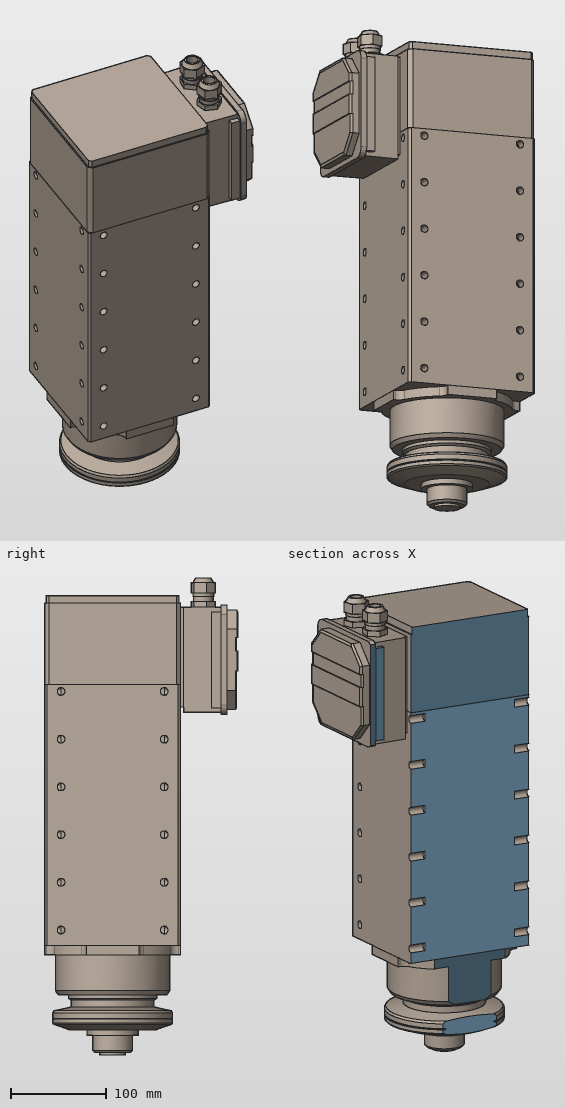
import cadquery as cq
import math

body_side = 142.0
half_side = body_side / 2
body_bottom = 115.0
body_top = 387.5
body_chamfer = 2.5

hole_diameter = 8.0
hole_depth = 17.0
hole_rows = 6
hole_pitch = 50.0
hole_column_offset = 54.0
hole_bottom_row_z = 130.5

cover_shoulder_z = 472.5
cover_top = 480.5
cover_chamfer = 4.5
cover_rim_step = 1.5

flange_bottom = 105.0
flange_hub_radius = 69.0
flange_ear_width = 55.0
flange_corner_radius = 9.5
nose_radius = 60.0
nose_bottom = 63.0
nose_chamfer_width = 3.0
nose_chamfer_height = 4.5

shoulder_radius = 46.5
shoulder_bottom = 59.5
neck_radius = 43.5
neck_top = 57.5
neck_bottom = 50.5
disc_radius = 63.0
disc_land_radius = 61.5
disc_land_top = 46.5
disc_rim_top = 44.0
disc_rim_bottom = 33.5
disc_land_bottom = 32.0
disc_base_radius = 44.5
disc_bottom = 26.0
groove_z = 38.0
groove_half_height = 0.5
groove_depth = 1.5
collar_radius = 27.0
collar_bottom = 20.5
shaft_radius = 21.0
shaft_bottom = 2.5
shaft_chamfer = 2.5
tip_radius = 13.5

box_top = 468.5
box_bottom = 358.5
box_back_y = 74.5
box_front_y = 113.5
box_back_width = 97.5
box_front_width = 100.0
box_foot_width = 91.5
box_foot_height = 105.0
box_tab_back_y = 103.5
box_tab_width = 111.0
box_tab_top = 463.5
box_tab_bottom = 363.0

rim_front_y = 120.0
rim_width = 115.0
rim_height = 115.0
rim_corner_radius = 10.0
lid_front_y = 129.5
lid_width = 104.5
lid_top = 465.5
lid_bottom = 361.5
lid_corner_chamfer = 20.0
lid_bevel_depth = 3.0
lid_bevel_width = 1.0
band_thickness = 1.25
band_heights = [(436.5, lid_top), (401.5, 422.5)]

gland_y = 95.0
gland_x = 20.0
gland_turns = {-gland_x: -7.0, gland_x: 14.0}
gland_hex_corners = 26.5
gland_base_top = 474.5
gland_neck_radius = 10.5
gland_collar_radius = 11.0
gland_collar_bottom = 479.5
gland_nut_bottom = 483.0
gland_nut_top = 494.0
gland_top = 499.0
gland_mouth_radius = 8.0
gland_bore_radius = 6.0
gland_bore_depth = 10.0


def column(side, chamfer, bottom, top):
    """Upright square column with chamfered corners."""
    return (
        cq.Workplane("XY")
        .workplane(offset=bottom)
        .rect(side, side)
        .extrude(top - bottom)
        .edges("|Z")
        .chamfer(chamfer)
    )


def revolved(outline):
    """Solid of revolution about the Z axis from (radius, z) points."""
    return cq.Workplane("XZ").polyline(outline).close().revolve(360, (0, 0, 0), (0, 1, 0))


def plate_y(width, bottom, top, back, front):
    """Box centred on x = 0, given by its heights and its Y range."""
    size = (width, front - back, top - bottom)
    return cq.Workplane("XY").box(*size, centered=(True, False, False)).translate((0, back, bottom))


def make_motor_body():
    body = column(body_side, body_chamfer, body_bottom, body_top)
    centres = [
        (x, hole_bottom_row_z + row * hole_pitch)
        for x in (-hole_column_offset, hole_column_offset)
        for row in range(hole_rows)
    ]
    holes = (
        cq.Workplane("XZ", origin=(0, -half_side, 0))
        .pushPoints(centres)
        .circle(hole_diameter / 2)
        .extrude(-hole_depth)
    )
    for quarter in range(4):
        body = body.cut(holes.rotate((0, 0, 0), (0, 0, 1), 90 * quarter))
    return body


def make_rear_cover():
    cover = column(body_side, cover_chamfer, body_top, cover_shoulder_z)
    rim_side = body_side - 2 * cover_rim_step
    rim = column(rim_side, cover_chamfer - cover_rim_step, cover_shoulder_z, cover_top)
    return cover.union(rim)


def make_corner_cutter():
    """Waste between the +X and +Y ears: hub arc in the middle, joined to each ear by a tangent fillet."""
    half_ear = flange_ear_width / 2
    near = half_ear + flange_corner_radius
    centre_distance = flange_hub_radius + flange_corner_radius
    far = math.sqrt(centre_distance**2 - near**2)
    shrink = flange_hub_radius / centre_distance
    diagonal = flange_hub_radius / math.sqrt(2)
    hub_angle = math.atan2(-far, -near)
    mid_angle = (hub_angle - math.pi) / 2
    mid_x = near + flange_corner_radius * math.cos(mid_angle)
    mid_y = far + flange_corner_radius * math.sin(mid_angle)
    return (
        cq.Workplane("XY")
        .workplane(offset=flange_bottom)
        .moveTo(half_ear, body_side)
        .lineTo(half_ear, far)
        .threePointArc((mid_x, mid_y), (near * shrink, far * shrink))
        .threePointArc((diagonal, diagonal), (far * shrink, near * shrink))
        .threePointArc((mid_y, mid_x), (far, half_ear))
        .lineTo(body_side, half_ear)
        .lineTo(body_side, body_side)
        .close()
        .extrude(body_bottom - flange_bottom)
    )


def make_front_shield():
    flange = (
        cq.Workplane("XY")
        .workplane(offset=flange_bottom)
        .rect(body_side, body_side)
        .extrude(body_bottom - flange_bottom)
    )
    cutter = make_corner_cutter()
    for quarter in range(4):
        flange = flange.cut(cutter.rotate((0, 0, 0), (0, 0, 1), 90 * quarter))
    nose = revolved(
        [
            (0, flange_bottom),
            (nose_radius, flange_bottom),
            (nose_radius, nose_bottom + nose_chamfer_height),
            (nose_radius - nose_chamfer_width, nose_bottom),
            (0, nose_bottom),
        ]
    )
    return flange.union(nose)


def make_spindle():
    return revolved(
        [
            (0, nose_bottom),
            (shoulder_radius, nose_bottom),
            (shoulder_radius, shoulder_bottom),
            (neck_radius, neck_top),
            (neck_radius, neck_bottom),
            (disc_land_radius, disc_land_top),
            (disc_radius, disc_rim_top),
            (disc_radius, groove_z + groove_half_height),
            (disc_radius - groove_depth, groove_z + groove_half_height),
            (disc_radius - groove_depth, groove_z - groove_half_height),
            (disc_radius, groove_z - groove_half_height),
            (disc_radius, disc_rim_bottom),
            (disc_land_radius, disc_land_bottom),
            (disc_base_radius, disc_bottom),
            (collar_radius, disc_bottom),
            (collar_radius, collar_bottom),
            (shaft_radius, collar_bottom),
            (shaft_radius, shaft_bottom + shaft_chamfer),
            (shaft_radius - shaft_chamfer, shaft_bottom),
            (tip_radius, shaft_bottom),
            (tip_radius, 0),
            (0, 0),
        ]
    )


def make_terminal_box():
    shell = (
        cq.Workplane("XY")
        .workplane(offset=box_bottom)
        .polyline(
            [
                (-box_back_width / 2, box_back_y),
                (box_back_width / 2, box_back_y),
                (box_front_width / 2, box_front_y),
                (-box_front_width / 2, box_front_y),
            ]
        )
        .close()
        .extrude(box_top - box_bottom)
    )
    foot = plate_y(box_foot_width, box_top - box_foot_height, box_top, half_side, box_back_y)
    tabs = plate_y(box_tab_width, box_tab_bottom, box_tab_top, box_tab_back_y, box_front_y)
    return shell.union(foot).union(tabs)


def lid_block(front):
    """Lid slab standing on the rim up to Y = front, with cut corners and a bevelled front edge."""
    return (
        plate_y(lid_width, lid_bottom, lid_top, rim_front_y, front)
        .edges("|Y")
        .chamfer(lid_corner_chamfer)
        .faces(">Y")
        .chamfer(lid_bevel_depth, lid_bevel_width)
    )


def make_lid():
    box_middle_z = (box_top + box_bottom) / 2
    rim_bottom = box_middle_z - rim_height / 2
    rim = (
        plate_y(rim_width, rim_bottom, rim_bottom + rim_height, box_front_y, rim_front_y)
        .edges("|Y")
        .fillet(rim_corner_radius)
    )

    lid = rim.union(lid_block(lid_front_y))
    band_front = lid_front_y + band_thickness
    for bottom, top in band_heights:
        band_slice = plate_y(lid_width, bottom, top, rim_front_y, band_front)
        lid = lid.union(lid_block(band_front).intersect(band_slice))
    return lid


def hexagon(bottom, top):
    """Hexagon prism of the gland, centred on the Z axis."""
    return cq.Workplane("XY").workplane(offset=bottom).polygon(6, gland_hex_corners).extrude(top - bottom)


def make_gland(x, turn):
    core = revolved(
        [
            (0, box_top),
            (gland_neck_radius, box_top),
            (gland_neck_radius, gland_collar_bottom),
            (gland_collar_radius, gland_collar_bottom),
            (gland_collar_radius, gland_nut_top),
            (gland_mouth_radius, gland_top),
            (0, gland_top),
        ]
    )
    bore = (
        cq.Workplane("XY")
        .workplane(offset=gland_top - gland_bore_depth)
        .circle(gland_bore_radius)
        .extrude(gland_bore_depth)
    )
    base = hexagon(box_top, gland_base_top)
    nut = hexagon(gland_nut_bottom, gland_nut_top)
    gland = core.union(base).union(nut).cut(bore)
    return gland.rotate((0, 0, 0), (0, 0, 1), turn).translate((x, gland_y, 0))


motor_body = make_motor_body()
rear_cover = make_rear_cover()
front_shield = make_front_shield()
spindle = make_spindle()
terminal_box = make_terminal_box()
lid = make_lid()
glands = [make_gland(x, turn) for x, turn in gland_turns.items()]

result = cq.Compound.makeCompound(
    [
        motor_body.val(),
        rear_cover.val(),
        front_shield.val(),
        spindle.val(),
        terminal_box.val(),
        lid.val(),
        *[gland.val() for gland in glands],
    ]
)